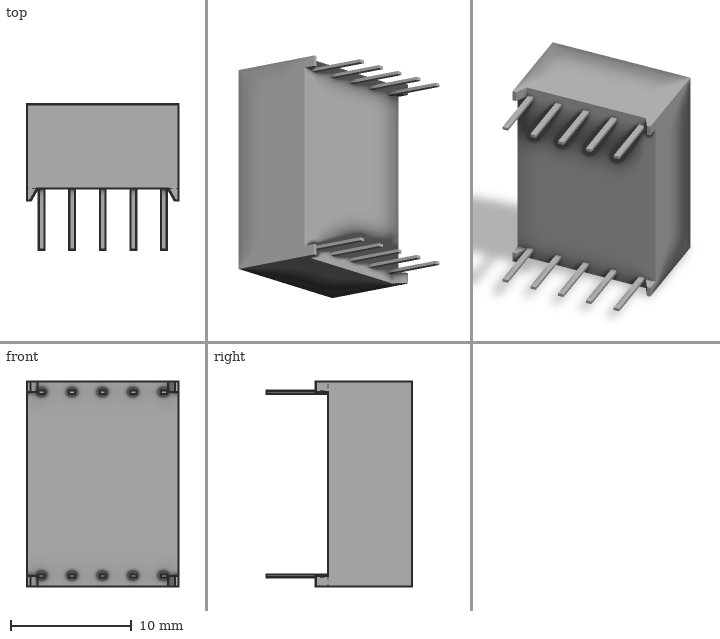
import cadquery as cq

body_width = 12.58
body_depth = 7.0
body_height = 17.02
overall_depth = 12.08

foot_length = 1.0
foot_height = 0.89
foot_root_width = 0.87
foot_tip_width = 0.3

pins_per_row = 5
pin_pitch = 2.54
row_spacing = 15.23
pin_width = 0.5
pin_thickness = 0.25
pin_length = overall_depth - body_depth

half_width = body_width / 2
half_height = body_height / 2


def make_body():
    return cq.Workplane("XY").box(body_width, body_depth, body_height).translate((0, body_depth / 2, 0))


def make_foot(side, bottom):
    """Foot flush with the body side (-1 or +1), tapered on its inner flank."""
    outer_x = side * half_width
    outline = [
        (outer_x, 0),
        (outer_x, -foot_length),
        (outer_x - side * foot_tip_width, -foot_length),
        (outer_x - side * foot_root_width, 0),
    ]
    return cq.Workplane("XY").workplane(offset=bottom).polyline(outline).close().extrude(foot_height)


def make_pins():
    return (
        cq.Workplane("XZ")
        .rarray(pin_pitch, row_spacing, pins_per_row, 2)
        .rect(pin_width, pin_thickness)
        .extrude(pin_length)
    )


result = make_body()
for side in (-1, 1):
    for bottom in (-half_height, half_height - foot_height):
        result = result.union(make_foot(side, bottom))
result = result.union(make_pins())